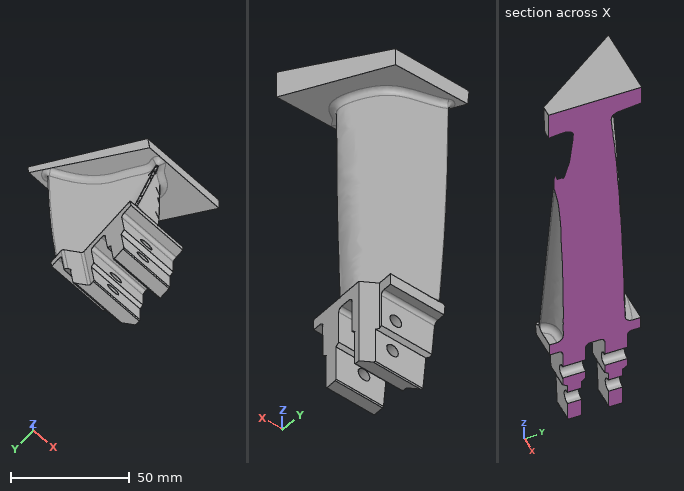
import cadquery as cq
import math


total_height = 179.4
side_slope = 0.083
side_draft = math.degrees(math.atan(side_slope))
slab_width = 89.7
extra = 35.9

platform_top = 46.5
platform_bottom = 40.4
platform_half_width = 21.0
root_front_left = -14.5
root_front_right = 15.2
back_shift = 7.4
step_front_y = 9.0
step_back_y = 13.6
step_fillet = 1.5
prong_shoulder_z = 20.8
prong_shoulder_drop = 1.5
neck_outer_y = 14.9
neck_inner_y = 4.3
foot_outer_y = 12.7
foot_inner_y = 6.1
neck_fillet = 2.0
foot_chamfer = 0.5
pin_diameter = 6.3
pin_heights = (12.5, 28.2)

tip_half_width = 42.9 / 2
tip_back_left = -34.6
tip_front_left = -5.0
tip_length = 40.2
tip_corner_depth = 13.5
tip_slope_x = -0.032
tip_slope_y = 0.099

blade_fillet = 2.9
mid_blade_z = 105.8

root_concave = [(-11.7, -20.1), (-5.7, -9.7), (-6.8, 4.7), (-12.2, 13.5), (-19.7, 19.0)]
root_convex = [(-10.5, -20.5), (4.5, -14.4), (11.5, -1.8), (0.9, 13.6), (-19.4, 19.7)]
mid_concave = [(-4.3, -19.0), (-3.0, -9.0), (-6.6, 2.7), (-13.6, 11.5), (-24.4, 17.5)]
mid_convex = [(-3.2, -19.4), (8.6, -13.1), (10.8, -1.5), (-1.3, 12.7), (-24.0, 18.5)]
tip_concave = [(3.0, -17.8), (-1.0, -8.0), (-6.6, 0.9), (-14.9, 9.0), (-27.3, 16.0)]
tip_convex = [(4.1, -18.1), (10.5, -11.7), (6.8, 0.0), (-5.4, 10.4), (-26.9, 16.7)]


def tip_underside(x, y):
    """Height of the sloping underside of the tip block."""
    corner_z = total_height - tip_corner_depth
    return corner_z + tip_slope_x * (x - tip_front_left) + tip_slope_y * (y + tip_half_width)


def root_blade_height(x, y):
    return platform_top


def mid_blade_height(x, y):
    return mid_blade_z


def blade_section(concave, convex, height):
    """Smooth closed crescent wire with rounded ends, on the surface given by height(x, y)."""
    def lift(point):
        return cq.Vector(point.x, point.y, height(point.x, point.y))

    inner = [lift(cq.Vector(x, y)) for x, y in concave]
    outer = [lift(cq.Vector(x, y)) for x, y in convex]

    def end_bulge(index, sign):
        """Middle of an end and its outward vector, half as long as the end is thick."""
        middle = (inner[index] + outer[index]).multiply(0.5)
        across = outer[index] - inner[index]
        outward = cq.Vector(across.y, -across.x, 0).multiply(sign / 2)
        return middle, lift(middle + outward) - middle

    front_middle, front_out = end_bulge(0, 1)
    back_middle, back_out = end_bulge(-1, -1)
    front_nose = front_middle + front_out
    back_nose = back_middle + back_out
    edges = [
        cq.Edge.makeSpline(inner, tangents=[front_out.multiply(-1), back_out]),
        cq.Edge.makeThreePointArc(inner[-1], back_nose, outer[-1]),
        cq.Edge.makeSpline(outer[::-1], tangents=[back_out.multiply(-1), front_out]),
        cq.Edge.makeThreePointArc(outer[0], front_nose, inner[0]),
    ]
    return cq.Wire.assembleEdges(edges)


def make_root_plan(height):
    """Stepped plan of the root, with drafted -X faces, as a tall solid."""
    y = platform_half_width
    right = (
        cq.Workplane("XY")
        .polyline([
            (-extra, -y),
            (root_front_right, -y),
            (root_front_right, step_front_y),
            (root_front_right - back_shift, step_back_y),
            (root_front_right - back_shift, y),
            (-extra, y),
        ])
        .close()
        .extrude(height)
    )
    left = (
        cq.Workplane("XY")
        .polyline([
            (root_front_left, -extra),
            (root_front_left, step_front_y),
            (root_front_left - back_shift, step_back_y),
            (root_front_left - back_shift, extra),
            (extra, extra),
            (extra, -extra),
        ])
        .close()
        .extrude(2 * platform_top, both=True)
        .edges(cq.selectors.NearestToPointSelector((root_front_left, step_front_y, 0)))
        .fillet(step_fillet)
        .edges(cq.selectors.NearestToPointSelector((root_front_left - back_shift, step_back_y, 0)))
        .fillet(step_fillet)
        .translate((0, 0, platform_top))
        .rotate((root_front_left, 0, platform_top), (root_front_left, 1, platform_top), -side_draft)
    )
    return right.intersect(left)


def make_prong(side):
    """One fork prong, on the side of Y given by the sign of side."""
    shoulder_end = prong_shoulder_z - prong_shoulder_drop
    return (
        cq.Workplane("YZ", origin=(-extra, 0, 0))
        .polyline([
            (side * (foot_inner_y + foot_chamfer), 0),
            (side * (foot_outer_y - foot_chamfer), 0),
            (side * foot_outer_y, foot_chamfer),
            (side * foot_outer_y, shoulder_end),
            (side * neck_outer_y, prong_shoulder_z),
            (side * neck_outer_y, platform_top),
            (side * neck_inner_y, platform_top),
            (side * neck_inner_y, prong_shoulder_z),
            (side * foot_inner_y, shoulder_end),
            (side * foot_inner_y, foot_chamfer),
        ])
        .close()
        .extrude(2 * extra)
    )


def make_root():
    platform = (
        cq.Workplane("XY", origin=(0, 0, platform_bottom))
        .rect(2 * extra, 2 * platform_half_width)
        .extrude(platform_top - platform_bottom)
    )
    fork = platform.union(make_prong(1)).union(make_prong(-1))
    for y in (-neck_outer_y, -neck_inner_y, neck_inner_y, neck_outer_y):
        corner = cq.selectors.NearestToPointSelector((0, y, platform_bottom))
        fork = fork.edges(corner).fillet(neck_fillet)
    pins = (
        cq.Workplane("XZ")
        .pushPoints([(0, z) for z in pin_heights])
        .circle(pin_diameter / 2)
        .extrude(extra, both=True)
    )
    return fork.intersect(make_root_plan(platform_top)).cut(pins)


def make_tip_outline():
    """Parallelogram prism with a drafted -X face, reaching well below the tip block."""
    w = tip_half_width
    prism = (
        cq.Workplane("XY", origin=(0, 0, total_height - extra))
        .polyline([
            (tip_front_left, -w),
            (tip_front_left + tip_length, -w),
            (tip_back_left + tip_length, w),
            (tip_back_left, w),
        ])
        .close()
        .extrude(extra)
    )
    front_corner = cq.Vector(tip_front_left, -w, total_height)
    edge = cq.Vector(tip_back_left - tip_front_left, 2 * w, 0)
    lean = cq.Vector(side_slope, 0, -1)
    side = cq.Plane(origin=front_corner, xDir=edge, normal=edge.cross(lean))
    outside = cq.Workplane(side).rect(2 * slab_width, 2 * slab_width).extrude(extra)
    return prism.cut(outside)


def make_slab(z_low, z_high):
    """Level slab that is wider than the whole part."""
    return (
        cq.Workplane("XY", origin=(0, 0, z_low))
        .rect(slab_width, slab_width)
        .extrude(z_high - z_low)
    )


def make_tip_slab():
    """Wide slab with a level top and the sloping underside of the tip block."""
    underside = cq.Plane(
        origin=(0, 0, tip_underside(0, 0)),
        xDir=(1, 0, tip_slope_x),
        normal=(-tip_slope_x, -tip_slope_y, 1),
    )
    above = cq.Workplane(underside).rect(slab_width, slab_width).extrude(2 * extra)
    return above.intersect(make_slab(total_height - extra, total_height))


def make_blade_and_tip():
    """Blade blended into both end slabs, each slab then trimmed to its own outline."""
    sections = [
        blade_section(root_concave, root_convex, root_blade_height),
        blade_section(mid_concave, mid_convex, mid_blade_height),
        blade_section(tip_concave, tip_convex, tip_underside),
    ]
    blade = cq.Workplane(obj=cq.Solid.makeLoft(sections))
    body = blade.union(make_slab(platform_bottom, platform_top)).union(make_tip_slab())
    for z in (platform_top, tip_underside(0, 0)):
        junction = cq.selectors.NearestToPointSelector((0, 0, z))
        body = body.edges(junction).fillet(blade_fillet)
    root_zone = make_root_plan(platform_top + 2 * blade_fillet)
    root_zone = root_zone.intersect(make_slab(platform_bottom, platform_top + blade_fillet))
    middle_zone = make_slab(platform_top + blade_fillet, total_height - extra)
    return body.intersect(root_zone.union(middle_zone).union(make_tip_outline()))


result = make_root().union(make_blade_and_tip())